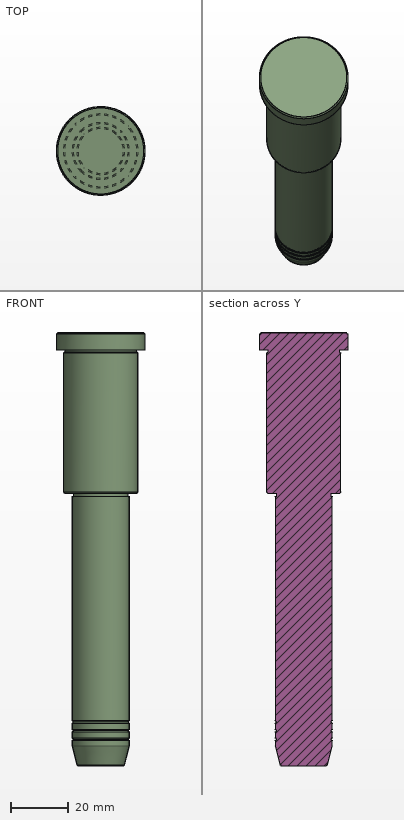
import cadquery as cq

total_length = 151.0
head_radius = 15.48
head_length = 6.0
head_chamfer = 0.5
body_radius = 13.0
body_length = 50.0
body_chamfer = 0.5
shank_radius = 10.0

relief_depth = 0.5
relief_length = 1.0

groove_count = 3
groove_half_width = 0.5
groove_depth = 0.5
groove_pitch = 3.0
lowest_groove_height = 9.4

tip_length = 7.1
tip_end_radius = 8.3
tip_chamfer = 0.5

top_z = total_length / 2
bottom_z = -total_length / 2
head_bottom_z = top_z - head_length
body_bottom_z = head_bottom_z - body_length
tip_top_z = bottom_z + tip_length


def v_groove(outline, center_z):
    """Continue a downward outline along the shank and through one V groove."""
    return (
        outline.lineTo(shank_radius, center_z + groove_half_width)
        .lineTo(shank_radius - groove_depth, center_z)
        .lineTo(shank_radius, center_z - groove_half_width)
    )


outline = (
    cq.Workplane("XZ")
    .moveTo(0, top_z)
    .lineTo(head_radius - head_chamfer, top_z)
    .lineTo(head_radius, top_z - head_chamfer)
    .lineTo(head_radius, head_bottom_z)
    .lineTo(body_radius - relief_depth, head_bottom_z)
    .lineTo(body_radius - relief_depth, head_bottom_z - relief_length + relief_depth)
    .lineTo(body_radius, head_bottom_z - relief_length)
    .lineTo(body_radius, body_bottom_z + body_chamfer)
    .lineTo(body_radius - body_chamfer, body_bottom_z)
    .lineTo(shank_radius - relief_depth, body_bottom_z)
    .lineTo(shank_radius - relief_depth, body_bottom_z - relief_length)
    .lineTo(shank_radius, body_bottom_z - relief_length)
)

for index in reversed(range(groove_count)):
    outline = v_groove(outline, bottom_z + lowest_groove_height + index * groove_pitch)

outline = (
    outline.lineTo(shank_radius, tip_top_z)
    .lineTo(tip_end_radius, bottom_z + tip_chamfer)
    .lineTo(tip_end_radius - tip_chamfer, bottom_z)
    .lineTo(0, bottom_z)
    .close()
)

result = outline.revolve(360, (0, 0, 0), (0, 1, 0))